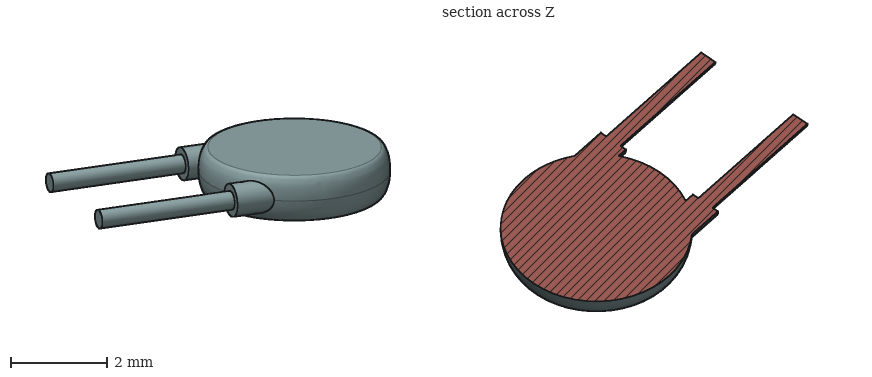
import cadquery as cq

disc_diameter = 4.0
disc_thickness = 1.0
face_diameter = 3.61

total_length = 7.0
lead_spacing = 2.54
lead_diameter = 0.4
collar_diameter = 0.7

disc_radius = disc_diameter / 2
face_radius = face_diameter / 2
rim_width = disc_radius - face_radius
half_thickness = disc_thickness / 2
lead_end = total_length - disc_radius
collar_end = disc_radius


def make_disc():
    """Revolve a half section whose rim is two quarter ellipses meeting at mid height."""
    return (
        cq.Workplane("XZ")
        .moveTo(0, -half_thickness)
        .lineTo(face_radius, -half_thickness)
        .ellipseArc(rim_width, half_thickness, -90, 0)
        .ellipseArc(rim_width, half_thickness, 0, 90)
        .lineTo(0, half_thickness)
        .close()
        .revolve(360, (0, 0, 0), (0, 1, 0))
    )


def make_rod(x, diameter, end):
    """Round rod along -Y, from the disc's middle plane to the given distance."""
    return cq.Workplane("XZ").center(x, 0).circle(diameter / 2).extrude(end)


result = make_disc()
for lead_x in (-lead_spacing / 2, lead_spacing / 2):
    result = result.union(make_rod(lead_x, collar_diameter, collar_end))
    result = result.union(make_rod(lead_x, lead_diameter, lead_end))